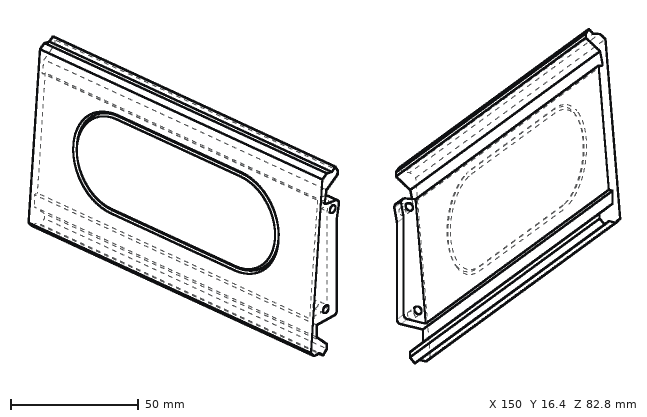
import cadquery as cq
import math

length = 150.0
lean = math.radians(5.0)
front_bottom_z = 4.2
front_top_z = 80.2
plate_thickness_y = 4.2
plate_bottom_z = 15.5
plate_top_z = 68.1
plate_top_rise = 0.2

rib_width = 5.4
rib_back_y = 15.2
rib_taper_z = 59.0
rib_tip_y = 16.4
rib_tip_z = 65.1
rib_top_y = 14.4
rib_top_z = 67.5
rib_crown = (15.9, 66.6)
rib_corner_radius = 1.6
pin_diameter = 3.3
pin_centers = [(12.6, 64.2), (8.7, 20.4)]

groove_length = 109.0
groove_height = 43.2
groove_width = 2.0
groove_depth = 0.98
groove_center_z = 45.9


def front_y(z):
    """Y of the leaning front face at height z."""
    return (z - front_bottom_z) * math.tan(lean)


def plate_back_y(z):
    """Y of the back of the thick middle at height z."""
    return front_y(z) + plate_thickness_y


def make_panel():
    """Leaning plate with a hooked lip along its top and bottom edges."""
    bottom_lip = [
        (2.0, 2.0),
        (5.1, 2.0),
        (7.0, 0.0),
        (9.3, 2.1),
        (9.3, 4.4),
        (3.5, 9.9),
        (3.5, plate_bottom_z),
    ]
    top_lip = [
        (8.5, plate_top_z + plate_top_rise),
        (8.0, 68.8),
        (9.2, 74.4),
        (15.6, 78.8),
        (15.6, 80.5),
        (14.2, 82.8),
        (12.2, 81.3),
        (9.3, 81.9),
    ]
    outline = [(0, front_bottom_z)]
    outline += bottom_lip
    outline += [(plate_back_y(z), z) for z in (plate_bottom_z, plate_top_z)]
    outline += top_lip
    outline += [(front_y(front_top_z), front_top_z)]
    return cq.Workplane("YZ").polyline(outline).close().extrude(length / 2, both=True)


def make_rib():
    """Flat rib behind the plate, rounded at its corners, with two pin holes."""
    bend = rib_corner_radius * (1 - math.sqrt(0.5))
    overlap = plate_thickness_y / 4
    return (
        cq.Workplane("YZ", origin=(length / 2 - rib_width, 0, 0))
        .moveTo(plate_back_y(plate_bottom_z) - overlap, plate_bottom_z)
        .lineTo(rib_back_y - rib_corner_radius, plate_bottom_z)
        .threePointArc(
            (rib_back_y - bend, plate_bottom_z + bend),
            (rib_back_y, plate_bottom_z + rib_corner_radius),
        )
        .lineTo(rib_back_y, rib_taper_z)
        .lineTo(rib_tip_y, rib_tip_z)
        .threePointArc(rib_crown, (rib_top_y, rib_top_z))
        .lineTo(plate_back_y(plate_top_z), plate_top_z)
        .lineTo(plate_back_y(plate_top_z) - overlap, plate_top_z)
        .close()
        .extrude(rib_width)
        .cut(
            cq.Workplane("YZ", origin=(length / 2 - rib_width, 0, 0))
            .pushPoints(pin_centers)
            .circle(pin_diameter / 2)
            .extrude(rib_width)
        )
    )


def make_groove():
    """Ring-shaped cutter with V-shaped walls, sunk square to the front face."""
    face = cq.Plane(
        origin=(0, front_y(groove_center_z), groove_center_z),
        xDir=(1, 0, 0),
        normal=(0, -math.cos(lean), math.sin(lean)),
    )
    wall_angle = math.degrees(math.atan(groove_width / 2 / groove_depth))
    inset = 2 * groove_width
    outer = (
        cq.Workplane(face)
        .slot2D(groove_length, groove_height)
        .extrude(-groove_depth, taper=wall_angle)
    )
    core = (
        cq.Workplane(face)
        .slot2D(groove_length - inset, groove_height - inset)
        .extrude(-groove_depth, taper=-wall_angle)
    )
    return outer.cut(core)


result = make_panel().union(make_rib()).cut(make_groove())